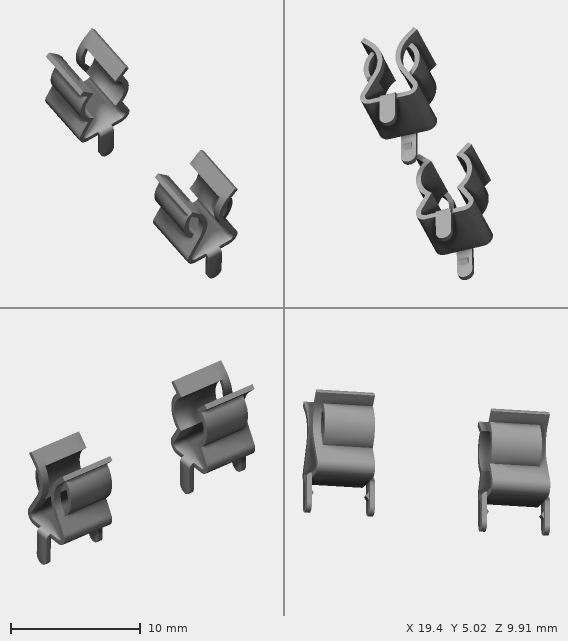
import cadquery as cq
import math

sheet = 0.4
body_length = 4.6
corner_radius = 0.8
wall_lean = 30.0
lip_angle = 45.0
lip_length = 0.97

fuse_axis_height = 4.07
grip_inner_radius = 1.88
grip_outer_radius = grip_inner_radius + sheet

stop_length = 0.64
stop_gap = 1.07
stop_inner_radius = grip_outer_radius + sheet
stop_axis_y = stop_gap / 2 + stop_inner_radius

leg_width = 1.25
leg_drop = 2.64
barb_drop = 1.1
barb_width = leg_width / 2
barb_half_height = 0.31
barb_depth = 0.23

overall_length = 19.4
clip_pitch = overall_length - body_length - 2 * sheet
second_shift_y = 0.27
second_shift_z = -0.62
second_tilt = 1.0


def polar(center, radius, degrees):
    """Point at the given angle and radius from a center in the YZ plane."""
    angle = math.radians(degrees)
    return (center[0] + radius * math.cos(angle), center[1] + radius * math.sin(angle))


def line_to_fuse_circle(point, degrees, radius):
    """Where a line, followed from a point, first crosses a circle round the fuse axis."""
    angle = math.radians(degrees)
    offset_y, offset_z = point[0], point[1] - fuse_axis_height
    along = offset_y * math.cos(angle) + offset_z * math.sin(angle)
    gap = offset_y**2 + offset_z**2 - radius**2
    distance = -along - math.sqrt(along**2 - gap)
    return polar(point, distance, degrees)


stop_center = (stop_axis_y, fuse_axis_height)
stop_outer_radius = stop_inner_radius - sheet
wall_end_angle = 180 + wall_lean
stop_lip_angle = 180 - lip_angle
stop_wall_inner = polar(stop_center, stop_inner_radius, wall_end_angle)
stop_wall_outer = polar(stop_center, stop_outer_radius, wall_end_angle)
stop_lip_inner = polar(stop_center, stop_inner_radius, stop_lip_angle)
stop_lip_outer = polar(stop_center, stop_outer_radius, stop_lip_angle)
lip_tip_inner = polar(stop_lip_inner, lip_length, lip_angle)
lip_tip_outer = polar(stop_lip_outer, lip_length, lip_angle)

wall_direction = 90 + wall_lean
center_gap = corner_radius + stop_outer_radius
center_rise = fuse_axis_height - corner_radius
lean = math.radians(wall_lean)
corner_y = stop_axis_y - (center_gap - center_rise * math.sin(lean)) / math.cos(lean)
corner_center = (corner_y, corner_radius)
corner_inner_radius = corner_radius - sheet


def half_outline(wall_outer, arm_outer_mid, lip_outer, lip_inner, arm_inner_mid, wall_inner):
    """Closed outline of the +Y half of the strip, with the given arm between wall and lip."""
    mid_corner = (wall_lean - 90) / 2
    return (
        cq.Workplane("YZ")
        .moveTo(0, 0)
        .lineTo(corner_y, 0)
        .threePointArc(polar(corner_center, corner_radius, mid_corner),
                       polar(corner_center, corner_radius, wall_lean))
        .lineTo(*wall_outer)
        .threePointArc(arm_outer_mid, lip_outer)
        .lineTo(*lip_tip_outer)
        .lineTo(*lip_tip_inner)
        .lineTo(*lip_inner)
        .threePointArc(arm_inner_mid, wall_inner)
        .lineTo(*polar(corner_center, corner_inner_radius, wall_lean))
        .threePointArc(polar(corner_center, corner_inner_radius, mid_corner), (corner_y, sheet))
        .lineTo(0, sheet)
        .close()
    )


def grip_outline():
    """Half outline whose arm bows outward round the fuse axis."""
    corner_outer = polar(corner_center, corner_radius, wall_lean)
    corner_inner = polar(corner_center, corner_inner_radius, wall_lean)
    return half_outline(
        line_to_fuse_circle(corner_outer, wall_direction, grip_outer_radius),
        (grip_outer_radius, fuse_axis_height),
        line_to_fuse_circle(lip_tip_outer, 180 + lip_angle, grip_outer_radius),
        line_to_fuse_circle(lip_tip_inner, 180 + lip_angle, grip_inner_radius),
        (grip_inner_radius, fuse_axis_height),
        line_to_fuse_circle(corner_inner, wall_direction, grip_inner_radius),
    )


def stop_outline():
    """Half outline whose arm bows inward to stop the fuse."""
    return half_outline(
        stop_wall_outer,
        polar(stop_center, stop_outer_radius, 180),
        stop_lip_outer,
        stop_lip_inner,
        polar(stop_center, stop_inner_radius, 180),
        stop_wall_inner,
    )


def leg():
    """Leg at the +X end: bent down from the base, rounded tip, pointed barb on the inside."""
    half_width = leg_width / 2
    bend = (
        cq.Workplane("XZ")
        .moveTo(0, 0)
        .lineTo(0, sheet)
        .threePointArc(polar((0, 0), sheet, 45), (sheet, 0))
        .close()
        .extrude(half_width, both=True)
    )
    blade = (
        cq.Workplane("YZ")
        .moveTo(-half_width, 0)
        .lineTo(-half_width, half_width - leg_drop)
        .threePointArc((0, -leg_drop), (half_width, half_width - leg_drop))
        .lineTo(half_width, 0)
        .close()
        .extrude(sheet)
    )
    barb = (
        cq.Workplane("XZ")
        .moveTo(0, barb_half_height - barb_drop)
        .lineTo(-barb_depth, -barb_drop)
        .lineTo(0, -barb_half_height - barb_drop)
        .close()
        .extrude(barb_width / 2, both=True)
    )
    return bend.union(blade).union(barb).translate((body_length / 2, 0, 0))


def clip():
    """One clip, centered on its base, with the end stop at the -X end."""
    stop = stop_outline().extrude(stop_length)
    grip = grip_outline().extrude(body_length - stop_length).translate((stop_length, 0, 0))
    half = stop.union(grip).translate((-body_length / 2, 0, 0))
    right_leg = leg()
    body = half.union(half.mirror("XZ"))
    return body.union(right_leg).union(right_leg.mirror("YZ"))


placements = [
    (0, 0, (0, 0, 0)),
    (180, -second_tilt, (clip_pitch, second_shift_y, second_shift_z)),
]
clips = []
for turn, tilt, shift in placements:
    placed = clip().rotate((0, 0, 0), (0, 0, 1), turn).rotate((0, 0, 0), (1, 0, 0), tilt).translate(shift)
    clips.append(placed.val())

result = cq.Compound.makeCompound(clips)